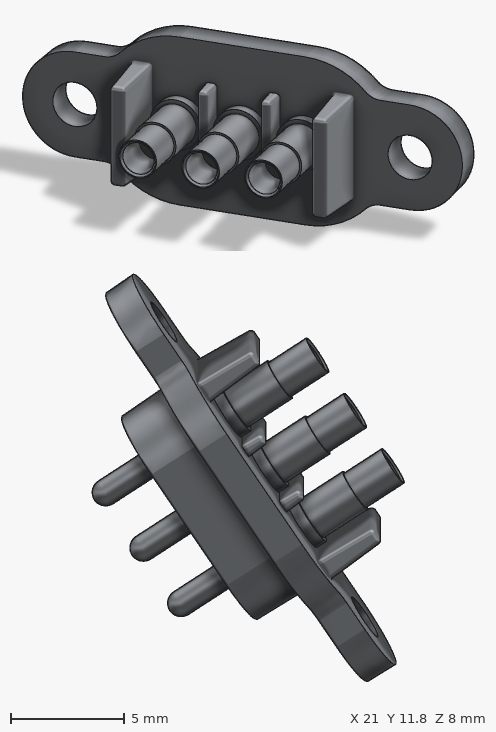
import cadquery as cq
import math

contact_pitch = 3.0
contact_count = 3

flange_length = 21.0
flange_height = 8.0
flange_thickness = 1.5
lug_radius = 2.5
waist_fillet = 1.0
mounting_hole_diameter = 2.1
edge_fillet = 0.1
body_draft = 1.5

shroud_height = 5.0
shroud_depth = 2.5
shroud_root_fillet = 0.1

rib_draft = 3.0
rib_fillet = 0.2
outer_rib_x = 4.8
outer_rib_width = 1.0
outer_rib_length = 5.0
outer_rib_height = 2.8
outer_rib_root_fillet = 0.05
inner_rib_x = contact_pitch / 2
inner_rib_width = 0.59
inner_rib_length = 4.1
inner_rib_height = 1.0

pin_diameter = 1.2
pin_projection = 3.0
collar_diameter = 2.4
collar_thickness = 0.5
barrel_diameter = 2.0
barrel_end = 2.81
cup_diameter = 1.8
cup_length = 2.0
bore_diameter = 1.5
bore_chamfer = 0.1

shroud_end = flange_thickness + shroud_depth
pin_tip = shroud_end + pin_projection
cup_end = -(barrel_end + cup_length)
lug_x = flange_length / 2 - lug_radius
contact_xs = [(i - (contact_count - 1) / 2) * contact_pitch for i in range(contact_count)]
end_contact_x = contact_xs[-1]
shroud_length = 2 * end_contact_x + shroud_height


def rearward_plane(y):
    """Sketch plane at the given y whose normal points along +Y and whose local y is Z."""
    return cq.Workplane(cq.Plane(origin=(0, y, 0), xDir=(-1, 0, 0), normal=(0, 1, 0)))


def flange_outline(sketch_plane):
    """Centre section with two large end arcs, blended into a rounded ear at each side."""
    centre_radius = flange_height / 2
    blend_z = lug_radius + waist_fillet
    centre_distance = centre_radius + waist_fillet
    blend_dx = math.sqrt(centre_distance**2 - blend_z**2)
    blend_x = end_contact_x + blend_dx
    tangent_x = end_contact_x + blend_dx * centre_radius / centre_distance
    tangent_z = blend_z * centre_radius / centre_distance
    return (
        sketch_plane.moveTo(-end_contact_x, centre_radius)
        .lineTo(end_contact_x, centre_radius)
        .radiusArc((tangent_x, tangent_z), centre_radius)
        .radiusArc((blend_x, lug_radius), -waist_fillet)
        .lineTo(lug_x, lug_radius)
        .threePointArc((lug_x + lug_radius, 0), (lug_x, -lug_radius))
        .lineTo(blend_x, -lug_radius)
        .radiusArc((tangent_x, -tangent_z), -waist_fillet)
        .radiusArc((end_contact_x, -centre_radius), centre_radius)
        .lineTo(-end_contact_x, -centre_radius)
        .radiusArc((-tangent_x, -tangent_z), centre_radius)
        .radiusArc((-blend_x, -lug_radius), -waist_fillet)
        .lineTo(-lug_x, -lug_radius)
        .threePointArc((-lug_x - lug_radius, 0), (-lug_x, lug_radius))
        .lineTo(-blend_x, lug_radius)
        .radiusArc((-tangent_x, tangent_z), -waist_fillet)
        .radiusArc((-end_contact_x, centre_radius), centre_radius)
        .close()
    )


def make_flange():
    flange = flange_outline(rearward_plane(0)).extrude(flange_thickness, taper=body_draft)
    return flange.faces(">Y").edges().fillet(edge_fillet)


def make_shroud():
    shroud = (
        rearward_plane(flange_thickness)
        .slot2D(shroud_length, shroud_height)
        .extrude(shroud_depth, taper=body_draft)
    )
    return shroud.faces(">Y").edges().fillet(edge_fillet)


def make_rib(x, width, length, height):
    """Drafted rib on the front face, rounded on every edge except its root."""
    rib = cq.Workplane("XZ").center(x, 0).rect(width, length).extrude(height, taper=rib_draft)
    return rib.edges("not >Y").fillet(rib_fillet)


def fillet_root(housing, x, y, length_x, length_z, radius):
    """Fillet the root edges, in the plane at y, of a feature with the given footprint centred at x."""
    reach_x = length_x / 2 + radius
    reach_z = length_z / 2 + radius
    root_box = cq.selectors.BoxSelector(
        (x - reach_x, y - radius / 2, -reach_z),
        (x + reach_x, y + radius / 2, reach_z),
        boundingbox=True,
    )
    return housing.edges(root_box).fillet(radius)


def make_housing():
    housing = make_flange().union(make_shroud())
    housing = fillet_root(housing, 0, flange_thickness, shroud_length, shroud_height, shroud_root_fillet)
    for side in (-1, 1):
        housing = housing.union(
            make_rib(side * outer_rib_x, outer_rib_width, outer_rib_length, outer_rib_height)
        )
        housing = fillet_root(
            housing, side * outer_rib_x, 0, outer_rib_width, outer_rib_length, outer_rib_root_fillet
        )
        housing = housing.union(
            make_rib(side * inner_rib_x, inner_rib_width, inner_rib_length, inner_rib_height)
        )
    mounting_holes = (
        rearward_plane(0)
        .pushPoints([(-lug_x, 0), (lug_x, 0)])
        .circle(mounting_hole_diameter / 2)
        .extrude(flange_thickness)
    )
    contact_holes = (
        rearward_plane(0)
        .pushPoints([(x, 0) for x in contact_xs])
        .circle(pin_diameter / 2)
        .extrude(shroud_end)
    )
    return housing.cut(mounting_holes).cut(contact_holes)


def make_contact(x):
    """Turned contact: round-nosed pin, collar seated on the flange, stepped barrel with open cup."""
    pin_radius = pin_diameter / 2
    collar_radius = collar_diameter / 2
    barrel_radius = barrel_diameter / 2
    cup_radius = cup_diameter / 2
    bore_radius = bore_diameter / 2
    bore_bottom = cup_end + cup_length
    nose_y = pin_tip - pin_radius
    nose_mid = pin_radius * math.sqrt(0.5)
    half_section = (
        cq.Workplane("XY")
        .moveTo(0, pin_tip)
        .threePointArc((nose_mid, nose_y + nose_mid), (pin_radius, nose_y))
        .lineTo(pin_radius, 0)
        .lineTo(collar_radius, 0)
        .lineTo(collar_radius, -collar_thickness)
        .lineTo(barrel_radius, -collar_thickness)
        .lineTo(barrel_radius, -barrel_end)
        .lineTo(cup_radius, -barrel_end)
        .lineTo(cup_radius, cup_end)
        .lineTo(bore_radius + bore_chamfer, cup_end)
        .lineTo(bore_radius, cup_end + bore_chamfer)
        .lineTo(bore_radius, bore_bottom)
        .lineTo(0, bore_bottom)
        .close()
    )
    return half_section.revolve(360, (0, 0, 0), (0, 1, 0)).translate((x, 0, 0))


housing = make_housing()
contacts = [make_contact(x) for x in contact_xs]

result = cq.Compound.makeCompound([housing.val(), *[contact.val() for contact in contacts]])